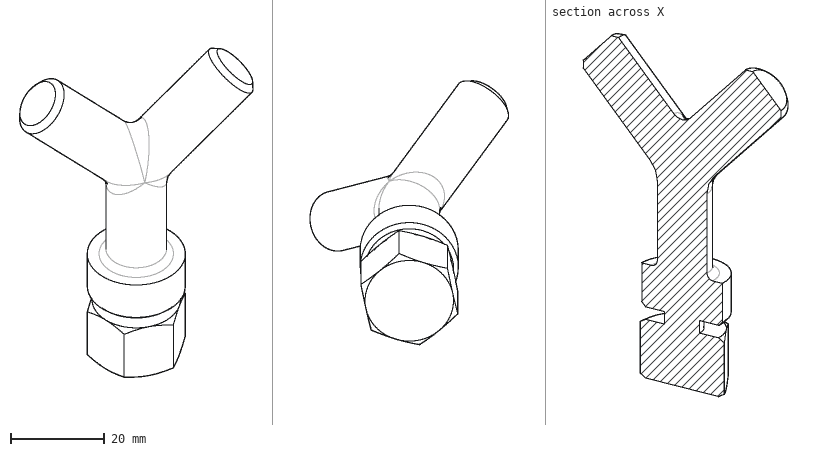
import cadquery as cq
import math

hex_height = 13.6
neck_length = 2.8
collar_height = 10.0
collar_bottom = hex_height + neck_length
collar_top = collar_bottom + collar_height

hex_across_flats = 18.95
hex_inner_radius = hex_across_flats / 2
hex_corner_radius = hex_inner_radius / math.cos(math.radians(30))
hex_bevel_angle = 30

neck_radius = 4.6
collar_radius = 10.515
collar_chamfer = 1.0
stem_radius = 6.51
stem_root_fillet = 1.5

overall_height = 77.0
arm_angle = 45
arm_length = 31.1
arm_chamfer = 1.3
arm_face_radius = stem_radius - arm_chamfer
tilt = math.radians(arm_angle)
fork_height = overall_height - arm_length * math.cos(tilt) - arm_face_radius * math.sin(tilt)
crotch_fillet = 3.0
shoulder_fillet = 6.0


def cylinder(radius, bottom, height):
    return cq.Workplane("XY").workplane(offset=bottom).circle(radius).extrude(height)


def make_hex_head():
    """Hexagon with flats facing X, its corners bevelled at both ends."""
    bevel_drop = (hex_corner_radius - hex_inner_radius) * math.tan(math.radians(hex_bevel_angle))
    hexagon = (
        cq.Workplane("XY")
        .polygon(6, 2 * hex_corner_radius)
        .extrude(hex_height)
        .rotate((0, 0, 0), (0, 0, 1), 90)
    )
    bevel_envelope = (
        cq.Workplane("XZ")
        .moveTo(0, 0)
        .lineTo(hex_inner_radius, 0)
        .lineTo(hex_corner_radius, bevel_drop)
        .lineTo(hex_corner_radius, hex_height - bevel_drop)
        .lineTo(hex_inner_radius, hex_height)
        .lineTo(0, hex_height)
        .close()
        .revolve(360, (0, 0), (0, 1))
    )
    return hexagon.intersect(bevel_envelope)


def make_arm(side):
    """Round bar leaning towards +Y (side = 1) or -Y (side = -1)."""
    bar = cylinder(stem_radius, 0, arm_length).faces(">Z").chamfer(arm_chamfer)
    return bar.rotate((0, 0, 0), (1, 0, 0), -side * arm_angle).translate((0, 0, fork_height))


def seam_edges(fork, bottom, top):
    """Curved edges of the fork whose centres lie between two heights."""
    return [edge for edge in fork.edges("not %LINE").vals() if bottom < edge.Center().z < top]


def make_fork():
    """Stem and both arms, with rounded inner corners where they meet."""
    stem = cylinder(stem_radius, collar_top, fork_height - collar_top)
    fork = stem.union(make_arm(1)).union(make_arm(-1))
    crotch_top = fork_height + stem_radius / math.sin(tilt)
    shoulder_bottom = fork_height - stem_radius
    fork = fork.newObject(seam_edges(fork, fork_height, crotch_top)).fillet(crotch_fillet)
    return fork.newObject(seam_edges(fork, shoulder_bottom, fork_height)).fillet(shoulder_fillet)


def make_collar():
    """Disc with a chamfered lower rim."""
    return cylinder(collar_radius, collar_bottom, collar_height).faces("<Z").chamfer(collar_chamfer)


def make_stem_root():
    """Concave fillet ring between the stem and the top of the collar."""
    ring_radius = stem_radius + stem_root_fillet
    ring_top = collar_top + stem_root_fillet
    arc_offset = stem_root_fillet * math.sin(math.radians(45))
    return (
        cq.Workplane("XZ")
        .moveTo(0, collar_top)
        .lineTo(ring_radius, collar_top)
        .threePointArc((ring_radius - arc_offset, ring_top - arc_offset), (stem_radius, ring_top))
        .lineTo(0, ring_top)
        .close()
        .revolve(360, (0, 0), (0, 1))
    )


neck = cylinder(neck_radius, hex_height, neck_length)
result = make_hex_head().union(neck).union(make_collar()).union(make_stem_root()).union(make_fork())